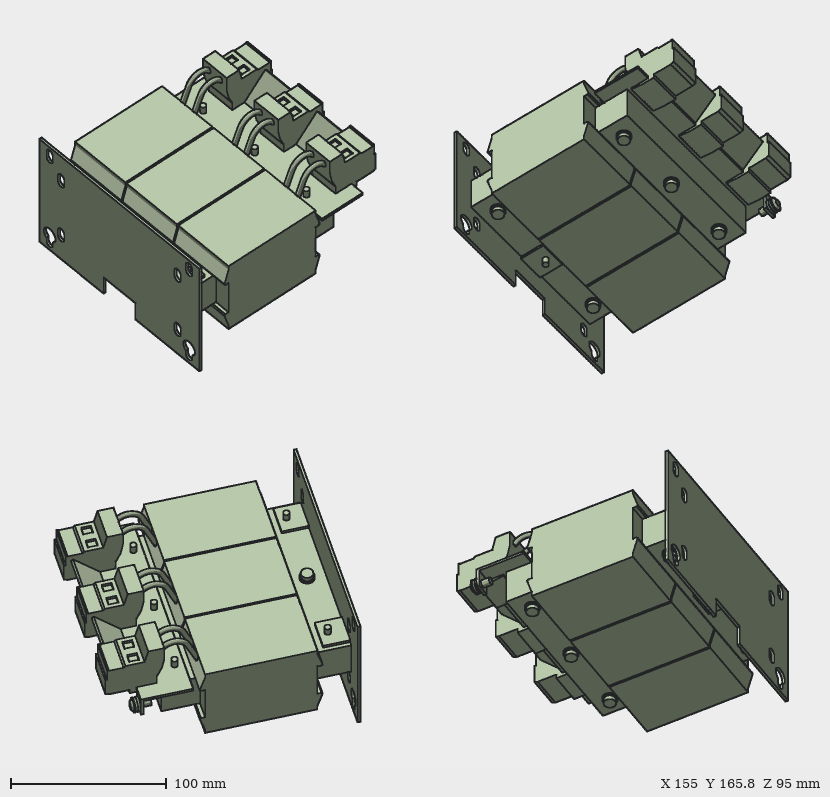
import cadquery as cq
import math


PLATE_WIDTH = 155.0
PLATE_HEIGHT = 95.0
PLATE_THICKNESS = 2.0
PLATE_CENTRE_Z = 0.9
SLOT_WIDTH = 6.0
SLOT_LENGTH = 11.0
UPRIGHT = 90.0
CORNER_HOLE_X = 67.5
CORNER_SLOT_RISE = 39.0
INNER_SLOT_X = 56.4
INNER_SLOT_RISE = 25.1
KEYHOLE_DIAMETER = 11.2
KEYHOLE_DROP = 33.7
KEYHOLE_NECK_DROP = 41.4
NOTCH_WIDTH = 30.5
NOTCH_HEIGHT = 15.0

PHASE_PITCH = 50.0
PHASES = (-PHASE_PITCH, 0.0, PHASE_PITCH)
CORE_WIDTH = 125.0
CORE_HALF_HEIGHT = 13.0
CORE_BACK_Y = 128.7

COIL_WIDTH = 48.7
COIL_HALF_HEIGHT = 29.1
COIL_FRONT_Y = 27.9
COIL_BACK_Y = 102.8
FLANGE_REACH = 3.6
FLANGE_TOP_Z = 25.9
FLANGE_TIP_Z = 14.4
FLANGE_CHAMFER = 0.9

CORE_CLEARANCE = 0.5
TAB_WIDTH = 20.2
TAB_BACK_Y = 20.2
TAB_THICKNESS = 2.0

FRONT_SCREW_Y = 14.3
REAR_SCREW_Y = 116.4
SCREW_DIAMETER = 4.2
SCREW_TIP_Z = 20.8
SCREW_HEAD_DIAMETER = 8.2
SCREW_HEAD_Z = 17.6
SCREW_FLANGE_DIAMETER = 10.0
SCREW_FLANGE_Z = 14.4

BRACKET_WIDTH = 144.7
BRACKET_THICKNESS = 2.0
BRACKET_FRONT_Y = 110.0
BRACKET_BACK_Y = 145.0
BRACKET_TOP_Z = CORE_HALF_HEIGHT + BRACKET_THICKNESS
RAMP_WIDTH = 120.0
RAMP_START_Y = 141.7
RAMP_RISE = 18.0
RAMP_ANGLE = 45.0

EAR_WIDTH = 9.8
EAR_BOTTOM_Z = 0.0
EARTH_Z = 5.2
EARTH_SHANK_DIAMETER = 5.2
EARTH_TIP_Y = 137.2
EARTH_WASHER_DIAMETER = 10.0
EARTH_WASHER_THICKNESS = 1.7
EARTH_NECK_DIAMETER = 9.2
EARTH_NECK_THICKNESS = 1.8
EARTH_RIM_THICKNESS = 0.7
EARTH_DOME_DIAMETER = 5.0
EARTH_DOME_HEIGHT = 1.7

BLOCK_WIDTH = 23.0
BLOCK_FRONT_Y = 126.4
BLOCK_BACK_Y = 165.8
BLOCK_TOP_Z = 48.0
BLOCK_TOWER_TOP_Y = 137.1
BLOCK_TOWER_FOOT_Y = 139.6
BLOCK_SHELF_Z = 38.3
BLOCK_SHELF_BACK_Y = 152.3
BLOCK_SHELF_STEP = 1.3
BLOCK_DECK_Z = 37.0
BLOCK_LIP_WIDTH = 1.2
BLOCK_LIP_HEIGHT = 0.6
BLOCK_BULGE_TOP_Z = 28.5
BLOCK_BULGE = 1.2
BLOCK_BOTTOM_Z = 13.6
BLOCK_BOTTOM_CHAMFER_Y = 2.5
BLOCK_BOTTOM_CHAMFER_Z = 1.0
BLOCK_ROUND_TOP_Z = 38.5
BLOCK_ROUND_MIDDLE = (126.6, 36.2)
BLOCK_ROUND_END = (127.0, 34.0)
BLOCK_BEVEL_BREAK = (128.1, 28.9)
FOOT_FRONT_Y = 131.3
FOOT_BACK_Y = 149.5
FOOT_TOP_Z = 21.6
FOOT_FRONT_Z = 11.8
FOOT_BOTTOM_Z = 10.4
FOOT_FLAT_START_Y = 140.3
TERMINAL_OFFSET = 5.7
WINDOW_WIDTH = 5.8
WINDOW_FRONT_Y = 142.4
WINDOW_BACK_Y = 148.9
WINDOW_DEPTH = 2.0

LEAD_DIAMETER = 3.6
LEAD_BEND_RADIUS = 10.25
LEAD_PEAK_Y = 118.5
LEAD_PEAK_Z = 45.4
LEAD_DROP_ANGLE = 67.0
LEAD_ENTRY_ANGLE = 55.0
LEAD_STRAIGHT = 19.0


def box(x_range, y_range, z_range):
    """Box between the given low and high limits."""
    size = [high - low for low, high in (x_range, y_range, z_range)]
    corner = cq.Vector(x_range[0], y_range[0], z_range[0])
    return cq.Workplane(cq.Solid.makeBox(*size, corner))


def span(centre, width):
    """Low and high limits of a width about a centre."""
    return (centre - width / 2, centre + width / 2)


def along_x(centre_x, width):
    """YZ sketch plane placed so that extruding by width is centred on centre_x."""
    return cq.Workplane("YZ", origin=(centre_x - width / 2, 0, 0))


def upright_cylinder(x, y, diameter, z_start, z_end):
    """Cylinder along Z running from z_start to z_end."""
    return cq.Workplane("XY", origin=(x, y, z_start)).circle(diameter / 2).extrude(z_end - z_start)


def rear_facing(x, y, z):
    """XZ sketch plane whose extrusions run toward +Y."""
    return cq.Workplane(cq.Plane(origin=(x, y, z), xDir=(-1, 0, 0), normal=(0, 1, 0)))


def make_plate():
    """Wall plate with upright slots, keyholes and a notch in its lower edge."""
    plate = box(
        span(0, PLATE_WIDTH),
        (0, PLATE_THICKNESS),
        span(PLATE_CENTRE_Z, PLATE_HEIGHT),
    )
    face = rear_facing(0, 0, PLATE_CENTRE_Z)
    slot_places = [(side * CORNER_HOLE_X, CORNER_SLOT_RISE) for side in (-1, 1)]
    slot_places += [(sx * INNER_SLOT_X, sz * INNER_SLOT_RISE) for sx in (-1, 1) for sz in (-1, 1)]
    slots = face.pushPoints(slot_places).slot2D(SLOT_LENGTH, SLOT_WIDTH, UPRIGHT).extrude(PLATE_THICKNESS)

    heads = [(side * CORNER_HOLE_X, -KEYHOLE_DROP) for side in (-1, 1)]
    keyholes = face.pushPoints(heads).circle(KEYHOLE_DIAMETER / 2).extrude(PLATE_THICKNESS)
    neck_length = KEYHOLE_NECK_DROP - KEYHOLE_DROP + SLOT_WIDTH
    neck_centre = -(KEYHOLE_NECK_DROP + KEYHOLE_DROP) / 2
    necks = [(side * CORNER_HOLE_X, neck_centre) for side in (-1, 1)]
    keyholes = keyholes.union(
        face.pushPoints(necks).slot2D(neck_length, SLOT_WIDTH, UPRIGHT).extrude(PLATE_THICKNESS)
    )

    plate_bottom = PLATE_CENTRE_Z - PLATE_HEIGHT / 2
    notch = box(
        span(0, NOTCH_WIDTH),
        (0, PLATE_THICKNESS),
        (plate_bottom, plate_bottom + NOTCH_HEIGHT),
    )
    return plate.cut(slots).cut(keyholes).cut(notch)


def make_core():
    """Core block, butted against the back of the plate."""
    return box(
        span(0, CORE_WIDTH),
        (PLATE_THICKNESS, CORE_BACK_Y),
        span(0, 2 * CORE_HALF_HEIGHT),
    )


def make_coil(x):
    """Coil body with bevelled flanges overhanging the core yokes above and below."""
    body = box(
        span(x, COIL_WIDTH),
        (COIL_FRONT_Y, COIL_BACK_Y),
        span(0, 2 * COIL_HALF_HEIGHT),
    )
    underside = CORE_HALF_HEIGHT + CORE_CLEARANCE
    tip_front = COIL_FRONT_Y - FLANGE_REACH
    tip_back = COIL_BACK_Y + FLANGE_REACH
    flange = (
        along_x(x, COIL_WIDTH)
        .polyline([
            (COIL_FRONT_Y, FLANGE_TOP_Z),
            (tip_front, FLANGE_TIP_Z),
            (tip_front + FLANGE_CHAMFER, underside),
            (tip_back - FLANGE_CHAMFER, underside),
            (tip_back, FLANGE_TIP_Z),
            (COIL_BACK_Y, FLANGE_TOP_Z),
        ])
        .close()
        .extrude(COIL_WIDTH)
    )
    return body.union(flange).union(flange.mirror("XY"))


def make_tab(x, side):
    """Flat tab from the plate, above the core for side = 1 and below it for side = -1."""
    inner = CORE_HALF_HEIGHT + CORE_CLEARANCE
    tab = box(
        span(x, TAB_WIDTH),
        (PLATE_THICKNESS, TAB_BACK_Y),
        (inner, inner + TAB_THICKNESS),
    )
    return tab if side > 0 else tab.mirror("XY")


def make_clamp_screw(x, y, head_side):
    """Flanged screw through the core, its head above for head_side = 1 and below for -1."""
    head = upright_cylinder(x, y, SCREW_HEAD_DIAMETER, 0, head_side * SCREW_HEAD_Z)
    flange = upright_cylinder(x, y, SCREW_FLANGE_DIAMETER, 0, head_side * SCREW_FLANGE_Z)
    shank = upright_cylinder(x, y, SCREW_DIAMETER, 0, -head_side * SCREW_TIP_Z)
    return head.union(flange).union(shank)


def make_bracket():
    """Flat bracket with a ramp rising at the rear and a downturned earthing ear."""
    bottom_z = BRACKET_TOP_Z - BRACKET_THICKNESS
    left_x = -BRACKET_WIDTH / 2
    flat = box(
        span(0, BRACKET_WIDTH),
        (BRACKET_FRONT_Y, BRACKET_BACK_Y),
        (bottom_z, BRACKET_TOP_Z),
    )
    ear = box(
        (left_x, left_x + EAR_WIDTH),
        (BRACKET_BACK_Y - BRACKET_THICKNESS, BRACKET_BACK_Y),
        (EAR_BOTTOM_Z, BRACKET_TOP_Z),
    )
    angle = math.radians(RAMP_ANGLE)
    run = RAMP_RISE / math.tan(angle)
    offset_y = BRACKET_THICKNESS * math.sin(angle)
    offset_z = BRACKET_THICKNESS * math.cos(angle)
    ramp = (
        along_x(0, RAMP_WIDTH)
        .polyline([
            (RAMP_START_Y, BRACKET_TOP_Z),
            (RAMP_START_Y + run, BRACKET_TOP_Z + RAMP_RISE),
            (RAMP_START_Y + run + offset_y, BRACKET_TOP_Z + RAMP_RISE - offset_z),
            (RAMP_START_Y + offset_y, BRACKET_TOP_Z - offset_z),
        ])
        .close()
        .extrude(RAMP_WIDTH)
    )
    return flat.union(ear).union(ramp)


def make_earth_screw():
    """Domed, grooved screw head on a washer, its shank through the bracket ear."""
    x = -BRACKET_WIDTH / 2 + EAR_WIDTH / 2
    neck_y = BRACKET_BACK_Y + EARTH_WASHER_THICKNESS
    rim_y = neck_y + EARTH_NECK_THICKNESS
    dome_y = rim_y + EARTH_RIM_THICKNESS
    shank = rear_facing(x, EARTH_TIP_Y, EARTH_Z).circle(EARTH_SHANK_DIAMETER / 2)
    washer = rear_facing(x, BRACKET_BACK_Y, EARTH_Z).circle(EARTH_WASHER_DIAMETER / 2)
    neck = rear_facing(x, neck_y, EARTH_Z).circle(EARTH_NECK_DIAMETER / 2)
    rim = rear_facing(x, rim_y, EARTH_Z).circle(EARTH_WASHER_DIAMETER / 2)
    dome = (
        rear_facing(x, dome_y, EARTH_Z)
        .circle(EARTH_NECK_DIAMETER / 2)
        .workplane(offset=EARTH_DOME_HEIGHT)
        .circle(EARTH_DOME_DIAMETER / 2)
        .loft()
    )
    return (
        shank.extrude(neck_y - EARTH_TIP_Y)
        .union(washer.extrude(EARTH_WASHER_THICKNESS))
        .union(neck.extrude(EARTH_NECK_THICKNESS))
        .union(rim.extrude(EARTH_RIM_THICKNESS))
        .union(dome)
    )


def make_terminal_block(x):
    """Stepped terminal block, its foot reaching through the bracket."""
    lip_back_y = BLOCK_BACK_Y - BLOCK_BULGE
    lip_front_y = lip_back_y - BLOCK_LIP_WIDTH
    block = (
        along_x(x, BLOCK_WIDTH)
        .moveTo(BLOCK_TOWER_TOP_Y, BLOCK_TOP_Z)
        .lineTo(BLOCK_FRONT_Y, BLOCK_TOP_Z)
        .lineTo(BLOCK_FRONT_Y, BLOCK_ROUND_TOP_Z)
        .threePointArc(BLOCK_ROUND_MIDDLE, BLOCK_ROUND_END)
        .lineTo(*BLOCK_BEVEL_BREAK)
        .lineTo(FOOT_FRONT_Y, FOOT_TOP_Z)
        .lineTo(FOOT_FRONT_Y, FOOT_FRONT_Z)
        .lineTo(FOOT_FLAT_START_Y, FOOT_BOTTOM_Z)
        .lineTo(FOOT_BACK_Y, FOOT_BOTTOM_Z)
        .lineTo(FOOT_BACK_Y, BLOCK_BOTTOM_Z)
        .lineTo(BLOCK_BACK_Y - BLOCK_BOTTOM_CHAMFER_Y, BLOCK_BOTTOM_Z)
        .lineTo(BLOCK_BACK_Y, BLOCK_BOTTOM_Z + BLOCK_BOTTOM_CHAMFER_Z)
        .lineTo(BLOCK_BACK_Y, BLOCK_BULGE_TOP_Z)
        .lineTo(lip_back_y, BLOCK_BULGE_TOP_Z)
        .lineTo(lip_back_y, BLOCK_DECK_Z + BLOCK_LIP_HEIGHT)
        .lineTo(lip_front_y, BLOCK_DECK_Z + BLOCK_LIP_HEIGHT)
        .lineTo(lip_front_y, BLOCK_DECK_Z)
        .lineTo(BLOCK_SHELF_BACK_Y + BLOCK_SHELF_STEP, BLOCK_DECK_Z)
        .lineTo(BLOCK_SHELF_BACK_Y, BLOCK_SHELF_Z)
        .lineTo(BLOCK_TOWER_FOOT_Y, BLOCK_SHELF_Z)
        .close()
        .extrude(BLOCK_WIDTH)
    )
    for side in (-1, 1):
        window = box(
            span(x + side * TERMINAL_OFFSET, WINDOW_WIDTH),
            (WINDOW_FRONT_Y, WINDOW_BACK_Y),
            (BLOCK_SHELF_Z - WINDOW_DEPTH, BLOCK_SHELF_Z),
        )
        block = block.cut(window)
    return block


def make_lead(x):
    """Round lead that arches out of a terminal block and drops straight into a coil."""
    centre_z = LEAD_PEAK_Z - LEAD_BEND_RADIUS

    def on_bend(degrees):
        """Point on the bend, measured from its peak and positive toward the terminal block."""
        angle = math.radians(degrees)
        return (
            LEAD_PEAK_Y + LEAD_BEND_RADIUS * math.sin(angle),
            centre_z + LEAD_BEND_RADIUS * math.cos(angle),
        )

    drop = math.radians(LEAD_DROP_ANGLE)
    entry = on_bend(LEAD_ENTRY_ANGLE)
    bend_end = on_bend(-LEAD_DROP_ANGLE)
    coil_end = (
        bend_end[0] - LEAD_STRAIGHT * math.cos(drop),
        bend_end[1] - LEAD_STRAIGHT * math.sin(drop),
    )
    path = (
        cq.Workplane("YZ", origin=(x, 0, 0))
        .moveTo(*entry)
        .threePointArc((LEAD_PEAK_Y, LEAD_PEAK_Z), bend_end)
        .lineTo(*coil_end)
    )
    entry_angle = math.radians(LEAD_ENTRY_ANGLE)
    start = cq.Plane(
        origin=(x, *entry),
        xDir=(1, 0, 0),
        normal=(0, -math.cos(entry_angle), math.sin(entry_angle)),
    )
    return cq.Workplane(start).circle(LEAD_DIAMETER / 2).sweep(path)


result = make_plate().union(make_core()).union(make_bracket()).union(make_earth_screw())
for phase_x in PHASES:
    outer_phase = phase_x != 0
    result = result.union(make_coil(phase_x))
    result = result.union(make_tab(phase_x, 1 if outer_phase else -1))
    result = result.union(make_clamp_screw(phase_x, FRONT_SCREW_Y, -1 if outer_phase else 1))
    result = result.union(make_clamp_screw(phase_x, REAR_SCREW_Y, -1))
    result = result.union(make_terminal_block(phase_x))
    for lead_side in (-1, 1):
        result = result.union(make_lead(phase_x + lead_side * TERMINAL_OFFSET))